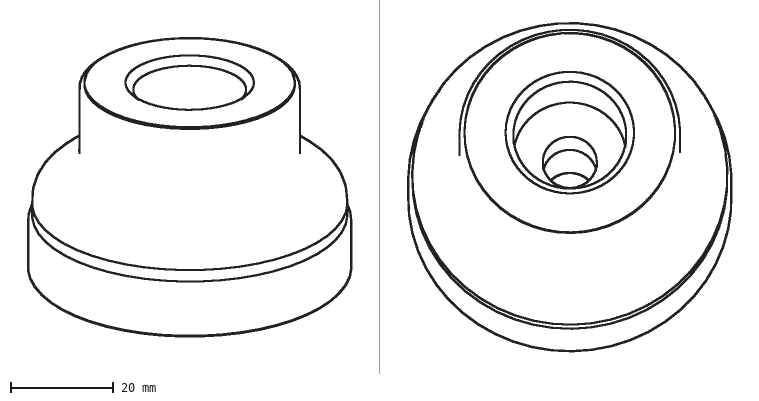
import cadquery as cq
import math

total_height = 40.0
through_radius = 10.5 / 2

lip_radius = 63 / 2
shoulder_radius = 61.4 / 2
pad_height = 14.05
lip_height = 11.6
lip_round = 1.5
foot_chamfer = 0.3

flange_edge_z = 15.0
dome_rim_radius = 28.75
dome_rim_z = 19.55
dome_rim_round = 6.25
dome_top_radius = 22.5
dome_top_z = 23.55
dome_round = 20.5
neck_radius = 43.0 / 2
neck_bottom_z = 25.3
neck_fillet = 2.0

neck_edge_round = 0.75
face_radius = 41.0 / 2
face_step = 0.4
ledge_z = total_height - face_step

socket_radius = 22.0 / 2
socket_mouth_radius = 25.0 / 2
socket_depth = 18.0
relief_radius = 22.5 / 2
relief_start_depth = 14.2
relief_floor_fillet = 0.8


def make_pad():
    """Foot disc whose outer lip rounds over to the shoulder."""
    round_width = lip_radius - shoulder_radius
    round_drop = math.sqrt(lip_round**2 - (lip_round - round_width) ** 2)
    profile = (
        cq.Workplane("XZ")
        .moveTo(through_radius, 0)
        .lineTo(lip_radius - foot_chamfer, 0)
        .lineTo(lip_radius, foot_chamfer)
        .lineTo(lip_radius, lip_height - round_drop)
        .radiusArc((shoulder_radius, lip_height), -lip_round)
        .lineTo(shoulder_radius, pad_height)
        .lineTo(through_radius, pad_height)
        .close()
    )
    return profile.revolve(360, (0, 0), (0, 1))


def make_housing_blank():
    """Domed flange and neck, without the socket."""
    profile = (
        cq.Workplane("XZ")
        .moveTo(through_radius, pad_height)
        .lineTo(shoulder_radius, pad_height)
        .lineTo(shoulder_radius, flange_edge_z)
        .radiusArc((dome_rim_radius, dome_rim_z), -dome_rim_round)
        .radiusArc((dome_top_radius, dome_top_z), -dome_round)
        .radiusArc((neck_radius, neck_bottom_z), neck_fillet)
        .lineTo(neck_radius, ledge_z - neck_edge_round)
        .radiusArc((neck_radius - neck_edge_round, ledge_z), -neck_edge_round)
        .lineTo(face_radius, ledge_z)
        .lineTo(face_radius, total_height)
        .lineTo(through_radius, total_height)
        .close()
    )
    return profile.revolve(360, (0, 0), (0, 1))


def make_socket():
    """Cutter for the chamfered socket, its relief and the rounded floor edge."""
    mouth_chamfer = socket_mouth_radius - socket_radius
    floor_z = total_height - socket_depth
    relief_top_z = total_height - relief_start_depth
    floor_radius = relief_radius - relief_floor_fillet
    profile = (
        cq.Workplane("XZ")
        .moveTo(0, floor_z)
        .lineTo(floor_radius, floor_z)
        .radiusArc((relief_radius, floor_z + relief_floor_fillet), -relief_floor_fillet)
        .lineTo(relief_radius, relief_top_z)
        .lineTo(socket_radius, relief_top_z)
        .lineTo(socket_radius, total_height - mouth_chamfer)
        .lineTo(socket_mouth_radius, total_height)
        .lineTo(0, total_height)
        .close()
    )
    return profile.revolve(360, (0, 0), (0, 1))


pad = make_pad()
housing = make_housing_blank().cut(make_socket())

result = cq.Compound.makeCompound([pad.val(), housing.val()])